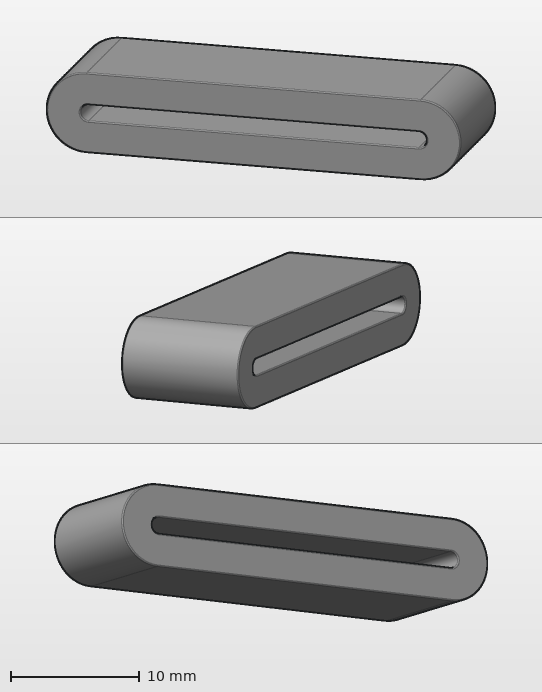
import cadquery as cq

length = 33.5
depth = 10.0
height = 6.5

slot_length = 28.0
slot_height = 1.3

edge_radius = 0.1


def stadium_prism(width, thickness):
    """Round-ended bar lying along X, extruded along Y and centred on the origin."""
    return cq.Workplane("XZ").slot2D(width, thickness).extrude(depth / 2, both=True)


body = stadium_prism(length, height)
slot = stadium_prism(slot_length, slot_height)

result = body.cut(slot).faces("<Y or >Y").edges().fillet(edge_radius)